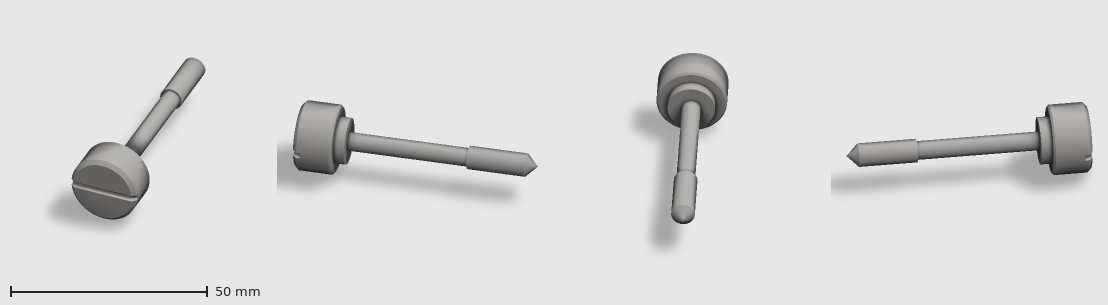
import cadquery as cq

total_length = 62.0

head_diameter = 18.0
head_length = 10.0
front_chamfer = 1.0
rear_chamfer = 0.5
slot_width = 1.7
slot_depth = 2.0

collar_diameter = 12.0
collar_length = 2.0
washer_thickness = 0.8

shank_diameter = 4.8
end_diameter = 6.0
end_length = 15.0
tip_length = end_diameter / 2

collar_end = head_length + collar_length
end_section_start = total_length - tip_length - end_length


def cylinder_along_y(diameter, start, length):
    """Cylinder centred on the Y axis, growing toward +Y from start."""
    return (
        cq.Workplane("XZ", origin=(0, start, 0))
        .circle(diameter / 2)
        .extrude(-length)
    )


def make_head():
    """Chamfered head with a screwdriver slot across its front face."""
    head = cylinder_along_y(head_diameter, 0, head_length)
    head = head.faces("<Y").chamfer(front_chamfer)
    head = head.faces(">Y").chamfer(rear_chamfer)
    slot = cq.Workplane("XY").box(
        head_diameter, slot_depth, slot_width, centered=(True, False, True)
    )
    return head.cut(slot)


def make_end_section():
    """Thicker cylinder at the far end, finished with a conical point."""
    end_radius = end_diameter / 2
    return (
        cq.Workplane("XY")
        .moveTo(0, end_section_start)
        .lineTo(end_radius, end_section_start)
        .lineTo(end_radius, total_length - tip_length)
        .lineTo(0, total_length)
        .close()
        .revolve(360, (0, 0, 0), (0, 1, 0))
    )


def make_screw():
    """Head, collar, shank and pointed end as one solid."""
    collar = cylinder_along_y(collar_diameter, head_length, collar_length)
    shank = cylinder_along_y(shank_diameter, collar_end, end_section_start - collar_end)
    return make_head().union(collar).union(shank).union(make_end_section())


def make_washer():
    """Flat ring around the shank, resting on the collar."""
    ring = cylinder_along_y(collar_diameter, collar_end, washer_thickness)
    bore = cylinder_along_y(shank_diameter, collar_end, washer_thickness)
    return ring.cut(bore)


screw = make_screw()
washer = make_washer()

result = cq.Compound.makeCompound([screw.val(), washer.val()])